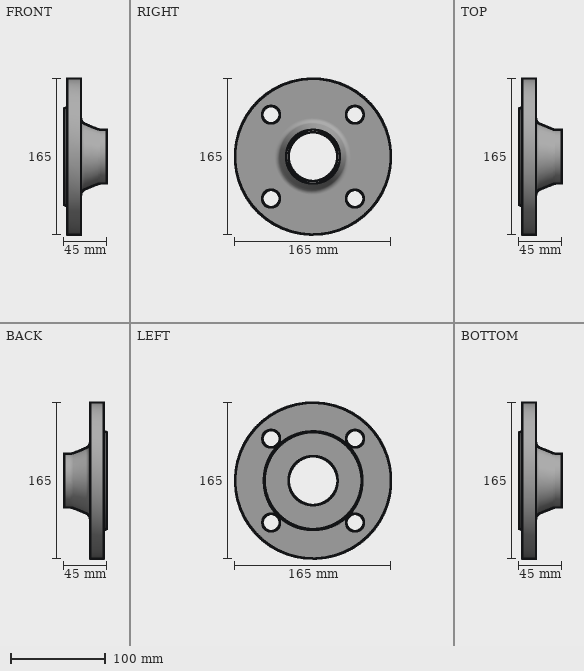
import cadquery as cq

total_length = 45.0
flange_diameter = 165.0
flange_back = 18.0
edge_chamfer = 0.5

raised_face_height = 3.0
raised_face_diameter = 102.0
raised_face_base_diameter = 104.5

hub_base_diameter = 72.6
neck_diameter = 57.0
neck_length = 8.0
hub_fillet = 6.0
bore_diameter = 51.2

bolt_hole_count = 4
bolt_hole_diameter = 18.0
bolt_circle_diameter = 125.0
first_hole_angle = 45

neck_start = total_length - neck_length


def make_disc():
    """Flange plate with both rim edges chamfered."""
    return (
        cq.Workplane("YZ", origin=(raised_face_height, 0, 0))
        .circle(flange_diameter / 2)
        .extrude(flange_back - raised_face_height)
        .edges()
        .chamfer(edge_chamfer)
    )


def make_raised_face():
    """Conical sealing face in front of the plate."""
    return (
        cq.Workplane("YZ")
        .circle(raised_face_diameter / 2)
        .workplane(offset=raised_face_height)
        .circle(raised_face_base_diameter / 2)
        .loft()
    )


def make_hub():
    """Cone from the plate to the cylindrical welding end."""
    return (
        cq.Workplane("XY")
        .moveTo(flange_back, 0)
        .lineTo(flange_back, hub_base_diameter / 2)
        .lineTo(neck_start, neck_diameter / 2)
        .lineTo(total_length, neck_diameter / 2)
        .lineTo(total_length, 0)
        .close()
        .revolve(360, (0, 0, 0), (1, 0, 0))
    )


def round_hub_ends(body):
    """Fillet the two circles where the cone meets the plate and the welding end."""
    select_tolerance = 0.2
    for position, diameter in ((flange_back, hub_base_diameter), (neck_start, neck_diameter)):
        reach = diameter / 2 + select_tolerance
        ring = cq.selectors.BoxSelector(
            (position - select_tolerance, -reach, -reach),
            (position + select_tolerance, reach, reach),
            boundingbox=True,
        )
        body = body.edges("%CIRCLE").edges(ring).fillet(hub_fillet)
    return body


def chamfer_cutter(diameter, face_x, depth_direction):
    """Cone that bevels a hole mouth at face_x; depth_direction is +1 or -1 along X."""
    mouth_radius = diameter / 2 + edge_chamfer
    return cq.Solid.makeCone(
        mouth_radius,
        diameter / 2,
        edge_chamfer,
        cq.Vector(face_x, 0, 0),
        cq.Vector(depth_direction, 0, 0),
    )


def cut_bore(body):
    """Through bore, bevelled at the sealing face."""
    bore = cq.Workplane("YZ").circle(bore_diameter / 2).extrude(total_length)
    return body.cut(bore).cut(chamfer_cutter(bore_diameter, 0, 1))


def cut_bolt_holes(body):
    """Bolt holes through the plate, bevelled at both ends."""
    drill = (
        cq.Workplane("YZ", origin=(raised_face_height, 0, 0))
        .circle(bolt_hole_diameter / 2)
        .extrude(flange_back - raised_face_height)
        .union(chamfer_cutter(bolt_hole_diameter, raised_face_height, 1))
        .union(chamfer_cutter(bolt_hole_diameter, flange_back, -1))
        .translate((0, bolt_circle_diameter / 2, 0))
    )
    for index in range(bolt_hole_count):
        angle = first_hole_angle + index * 360 / bolt_hole_count
        body = body.cut(drill.rotate((0, 0, 0), (1, 0, 0), angle))
    return body


blank = make_disc().union(make_raised_face()).union(make_hub())
result = cut_bolt_holes(cut_bore(round_hub_ends(blank)))